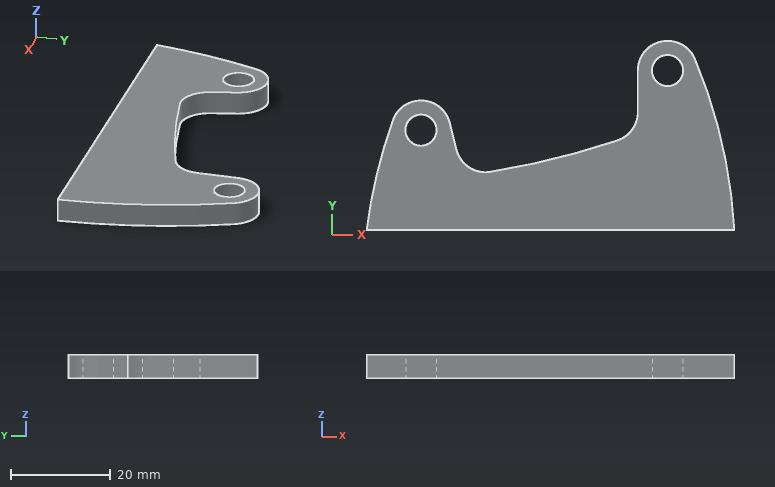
import cadquery as cq
import math

length = 74.0
thickness = 4.7

lug_radius = 6.0
hole_diameter = 6.2
left_hole = (10.95, 20.1)
right_hole = (60.5, 32.1)

side_radius = 103.6
recess_radius = 162.8

fillet_radius = 6.0
left_fillet_center = (23.9, 17.7)
right_fillet_center = (right_hole[0] - lug_radius - fillet_radius, 23.75)


def arc_center(first, first_distance, second, second_distance):
    """Point at given distances from two points, to the left of first -> second."""
    dx = second[0] - first[0]
    dy = second[1] - first[1]
    span = math.hypot(dx, dy)
    along = (first_distance**2 - second_distance**2 + span**2) / (2 * span)
    across = math.sqrt(first_distance**2 - along**2)
    return (
        first[0] + (along * dx - across * dy) / span,
        first[1] + (along * dy + across * dx) / span,
    )


def point_toward(start, target, distance):
    """Point at a distance from start in the direction of target."""
    scale = distance / math.dist(start, target)
    return (
        start[0] + scale * (target[0] - start[0]),
        start[1] + scale * (target[1] - start[1]),
    )


def arc_middle(center, radius, start, end):
    """Middle point of the minor arc from start to end."""
    chord_middle = ((start[0] + end[0]) / 2, (start[1] + end[1]) / 2)
    return point_toward(center, chord_middle, radius)


def make_outline():
    left_foot = (0.0, 0.0)
    right_foot = (length, 0.0)

    inner_distance = side_radius - lug_radius
    right_center = arc_center(right_foot, side_radius, right_hole, inner_distance)
    left_center = arc_center(left_hole, inner_distance, left_foot, side_radius)
    right_side_top = point_toward(right_center, right_hole, side_radius)
    left_side_top = point_toward(left_center, left_hole, side_radius)

    floor_distance = recess_radius - fillet_radius
    floor_center = arc_center(left_fillet_center, floor_distance, right_fillet_center, floor_distance)
    floor_left = point_toward(floor_center, left_fillet_center, recess_radius)
    floor_right = point_toward(floor_center, right_fillet_center, recess_radius)

    center_dx = left_fillet_center[0] - left_hole[0]
    center_dy = left_fillet_center[1] - left_hole[1]
    normal_angle = math.atan2(center_dy, center_dx) + math.acos(
        (lug_radius + fillet_radius) / math.hypot(center_dx, center_dy)
    )
    normal = (math.cos(normal_angle), math.sin(normal_angle))
    left_edge_top = (left_hole[0] + lug_radius * normal[0], left_hole[1] + lug_radius * normal[1])
    left_edge_bottom = (
        left_fillet_center[0] - fillet_radius * normal[0],
        left_fillet_center[1] - fillet_radius * normal[1],
    )

    right_edge_x = right_hole[0] - lug_radius
    right_edge_top = (right_edge_x, right_hole[1])
    right_edge_bottom = (right_edge_x, right_fillet_center[1])

    right_lug_crown = (right_hole[0], right_hole[1] + lug_radius)
    left_lug_crown = (left_hole[0], left_hole[1] + lug_radius)

    return (
        cq.Workplane("XY")
        .moveTo(*left_foot)
        .lineTo(*right_foot)
        .threePointArc(arc_middle(right_center, side_radius, right_foot, right_side_top), right_side_top)
        .threePointArc(right_lug_crown, right_edge_top)
        .lineTo(*right_edge_bottom)
        .threePointArc(
            arc_middle(right_fillet_center, fillet_radius, right_edge_bottom, floor_right), floor_right
        )
        .threePointArc(arc_middle(floor_center, recess_radius, floor_right, floor_left), floor_left)
        .threePointArc(
            arc_middle(left_fillet_center, fillet_radius, floor_left, left_edge_bottom), left_edge_bottom
        )
        .lineTo(*left_edge_top)
        .threePointArc(left_lug_crown, left_side_top)
        .threePointArc(arc_middle(left_center, side_radius, left_side_top, left_foot), left_foot)
        .close()
    )


plate = make_outline().extrude(thickness)
holes = (
    cq.Workplane("XY")
    .pushPoints([left_hole, right_hole])
    .circle(hole_diameter / 2)
    .extrude(thickness)
)
result = plate.cut(holes)